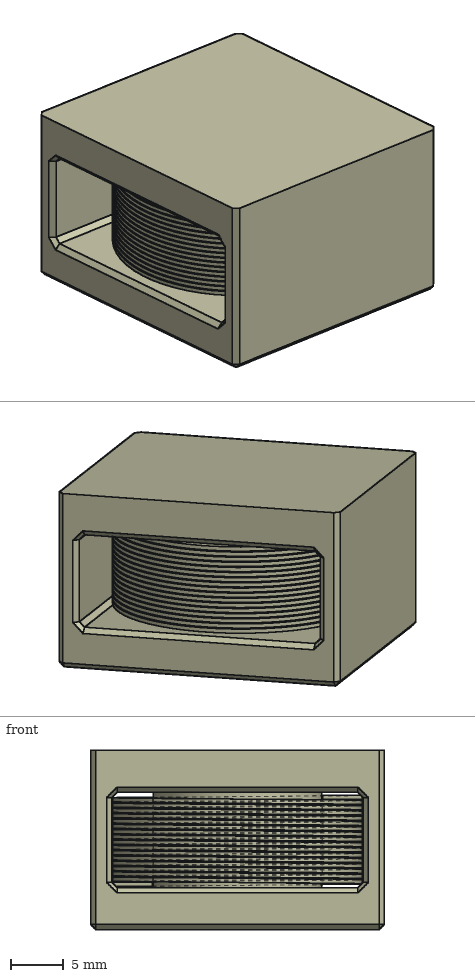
import cadquery as cq

core_length = 27.8
core_width = 25.8
core_height = 17.0
side_wall = 2.0
plate_thickness = 4.0
outer_chamfer = 0.5
window_corner_chamfer = 0.5
mouth_chamfer = 0.5
post_diameter = 16.0

window_length = core_length - 2 * side_wall
window_height = core_height - 2 * plate_thickness
mouth_length = window_length + 2 * mouth_chamfer
mouth_height = window_height + 2 * mouth_chamfer
mouth_corner_chamfer = window_corner_chamfer + mouth_chamfer

strip_thickness = 0.4
coil_pitch = 0.5
coil_turns = 16.5
coil_radial_clearance = 0.05
coil_floor_clearance = 0.1

coil_inner_radius = post_diameter / 2 + coil_radial_clearance
coil_outer_radius = window_length / 2 - coil_radial_clearance
coil_mid_radius = (coil_inner_radius + coil_outer_radius) / 2
strip_width = coil_outer_radius - coil_inner_radius
coil_start_height = plate_thickness + coil_floor_clearance + strip_thickness / 2


def chamfered_rectangle(length, height, corner_chamfer):
    """Rectangle with its four corners cut off at 45 degrees."""
    return cq.Sketch().rect(length, height).vertices().chamfer(corner_chamfer)


def make_window():
    """Cutting tool for the window: a straight passage that flares out at both mouths."""
    center_plane = cq.Workplane("XZ", origin=(0, 0, core_height / 2))
    passage_outline = chamfered_rectangle(window_length, window_height, window_corner_chamfer)
    mouth_outline = chamfered_rectangle(mouth_length, mouth_height, mouth_corner_chamfer)

    passage = center_plane.placeSketch(passage_outline).extrude(core_width / 2, both=True)
    front_flare = (
        center_plane.workplane(offset=core_width / 2 - mouth_chamfer)
        .placeSketch(passage_outline, mouth_outline.moved(cq.Location(cq.Vector(0, 0, mouth_chamfer))))
        .loft(ruled=True)
    )
    back_flare = front_flare.mirror("XZ")
    return passage.union(front_flare).union(back_flare)


def make_core():
    """Box with chamfered sides and bottom, a through window, and the centre post."""
    block = (
        cq.Workplane("XY")
        .box(core_length, core_width, core_height, centered=(True, True, False))
        .edges("|Z or <Z")
        .chamfer(outer_chamfer)
    )
    post = (
        cq.Workplane("XY", origin=(0, 0, plate_thickness))
        .circle(post_diameter / 2)
        .extrude(window_height)
    )
    return block.cut(make_window()).union(post)


def make_coil():
    """Strip swept along a helix from the -X side, trimmed to clear the window's cut corners."""
    helix = cq.Wire.makeHelix(
        coil_pitch, coil_pitch * coil_turns, coil_mid_radius, lefthand=True
    )
    strip = (
        cq.Workplane("XZ")
        .center(coil_mid_radius, 0)
        .rect(strip_width, strip_thickness)
        .sweep(cq.Workplane(obj=helix), isFrenet=True)
    )
    winding = strip.rotate((0, 0, 0), (0, 0, 1), 180).translate((0, 0, coil_start_height))
    return winding.intersect(make_window())


core = make_core()
coil = make_coil()

result = cq.Compound.makeCompound([core.solids().val(), coil.solids().val()])